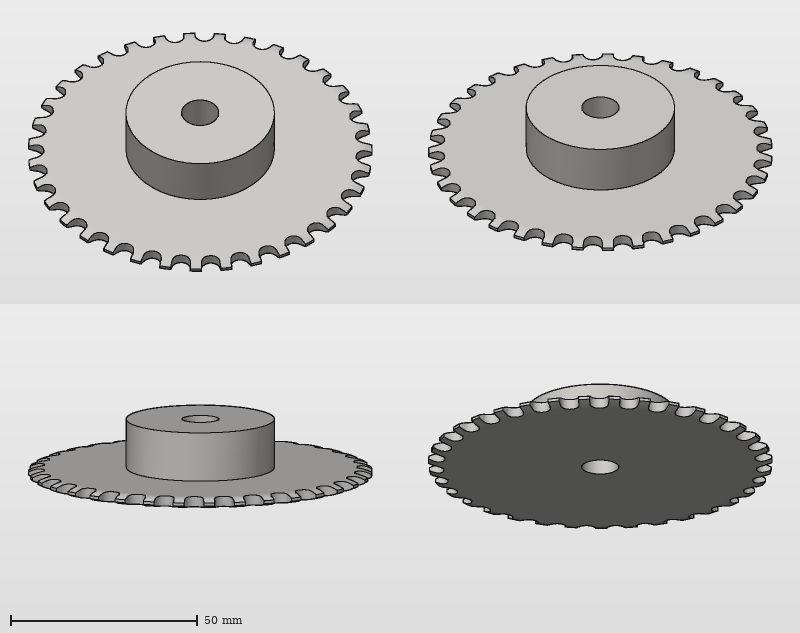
import cadquery as cq
import math

tooth_count = 35
outer_radius = 46.2
roller_radius = 2.5
pitch_radius = 44.6
plate_thickness = 2.8
flat_face_radius = 42.4
tip_land = 0.8
hub_diameter = 40.0
bore_diameter = 10.0
total_height = 16.0

half_step = math.pi / tooth_count
crown_drop = (plate_thickness - tip_land) / 2
crown_width = outer_radius - flat_face_radius
crown_arc_radius = (crown_width**2 + crown_drop**2) / (2 * crown_drop)


def crowned_blank():
    """Revolved disc whose rim curves in from both faces."""
    mid_radius = flat_face_radius + crown_width / 2
    mid_drop = crown_arc_radius - math.sqrt(crown_arc_radius**2 - (crown_width / 2) ** 2)
    return (
        cq.Workplane("XZ")
        .lineTo(flat_face_radius, 0)
        .threePointArc((mid_radius, mid_drop), (outer_radius, crown_drop))
        .lineTo(outer_radius, plate_thickness - crown_drop)
        .threePointArc((mid_radius, plate_thickness - mid_drop), (flat_face_radius, plate_thickness))
        .lineTo(0, plate_thickness)
        .close()
        .revolve(360, (0, 0), (0, 1))
    )


def tooth_gap():
    """Cutter for one gap on the +X axis: a roller seat opening along the tooth flanks."""
    tangent_x = pitch_radius - roller_radius * math.sin(half_step)
    tangent_y = roller_radius * math.cos(half_step)
    mouth_x = outer_radius + roller_radius
    mouth_y = tangent_y + (mouth_x - tangent_x) * math.tan(half_step)
    return (
        cq.Workplane("XY")
        .moveTo(mouth_x, -mouth_y)
        .lineTo(tangent_x, -tangent_y)
        .threePointArc((pitch_radius - roller_radius, 0), (tangent_x, tangent_y))
        .lineTo(mouth_x, mouth_y)
        .close()
        .extrude(plate_thickness)
    )


def toothed_plate():
    """Crowned disc with all gaps cut; one tooth is centred on +Y, one gap on -Y."""
    plate = crowned_blank()
    gap = tooth_gap()
    step_degrees = 360 / tooth_count
    for index in range(tooth_count):
        plate = plate.cut(gap.rotate((0, 0, 0), (0, 0, 1), -90 + index * step_degrees))
    return plate


hub = cq.Workplane("XY").circle(hub_diameter / 2).extrude(total_height)
bore = cq.Workplane("XY").circle(bore_diameter / 2).extrude(total_height)

result = toothed_plate().union(hub).cut(bore)